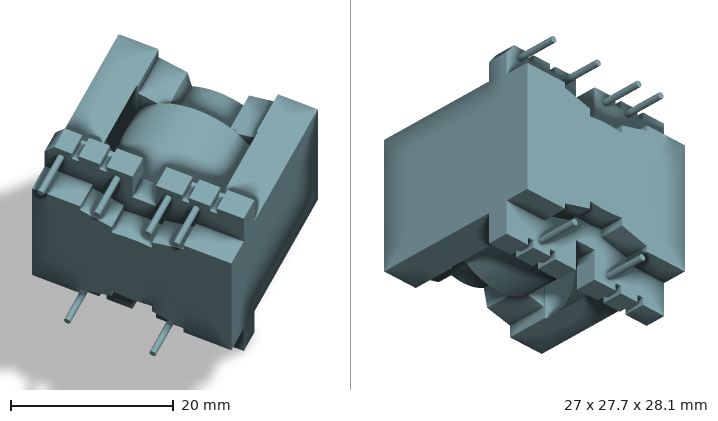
import cadquery as cq


core_width = 27.0
core_length = 25.3
back_half_height = 9.62
front_half_height = 9.22
end_thickness = 6.0
window_depth = 6.2
window_radius = 11.8
window_offset = 1.38

back_leg_x = 8.07
back_slope_top = 7.9
back_ridge_x = 4.15
back_slope_bottom = 7.03
back_dip_x = 3.57
back_dip_edge = 4.41
back_dip_middle = 5.25
front_leg_x = 7.0
front_slope_top = 8.45
front_ridge_x = 2.75
front_slope_bottom = 7.3
front_dip_edge = 6.2
front_dip_middle = 6.4

coil_radius = 9.08

plate_height = 28.12
plate_back = -5.9
plate_thickness = 3.1
corner_cut_x = 1.3
corner_cut_z = 1.63
centre_notch_width = 3.18
centre_notch_depth = 4.35
wire_slot_width = 0.93
wire_slot_depth = 1.07
wire_slot_xs = (-9.35, -5.6, 5.6, 9.35)

pin_diameter = 0.87
pin_length = 6.05
pin_z = 12.55
top_pin_xs = (-11.28, -3.65, 3.3, 7.1)
bottom_pin_xs = (-7.65, 3.95)

core_back = core_length / 2
core_front = -core_length / 2
end_inner = core_back - end_thickness
window_back = core_back - window_depth
plate_front = plate_back - plate_thickness


def box(width, y_start, y_end, height, x=0.0, z=0.0):
    """Box centred on (x, z) that runs from y_start to y_end."""
    return cq.Workplane("XY").box(width, y_end - y_start, height).translate((x, (y_start + y_end) / 2, z))


def rod(x, z, radius, y_start, y_end):
    """Cylinder along Y from y_start to y_end."""
    return cq.Workplane("XZ", origin=(x, y_start, z)).circle(radius).extrude(y_start - y_end)


def profiled_end(half_outline, dip_middle, half_height, y_start, y_end):
    """Core end with a stepped, sloping recess and an arched floor on its top and bottom."""
    half_width = core_width / 2
    dip_x, dip_edge = half_outline[-1]
    right = [(half_width, half_height)] + half_outline
    left = [(-x, z) for x, z in reversed(right)]
    upper_half = (
        cq.Workplane("XZ", origin=(0, y_start, 0))
        .moveTo(half_width, 0)
        .polyline(right, includeCurrent=True)
        .threePointArc((0, dip_middle), (-dip_x, dip_edge))
        .polyline(left[1:], includeCurrent=True)
        .lineTo(-half_width, 0)
        .close()
        .extrude(y_start - y_end)
    )
    return upper_half.union(upper_half.mirror("XY"))


def make_back_end():
    outline = [
        (back_leg_x, back_half_height),
        (back_leg_x, back_slope_top),
        (back_ridge_x, back_slope_bottom),
        (back_dip_x, back_dip_edge),
    ]
    return profiled_end(outline, back_dip_middle, back_half_height, end_inner, core_back)


def make_front_end():
    outline = [
        (front_leg_x, front_half_height),
        (front_leg_x, front_slope_top),
        (front_ridge_x, front_slope_bottom),
        (front_ridge_x, front_dip_edge),
    ]
    return profiled_end(outline, front_dip_middle, front_half_height, core_front, plate_front)


def make_legs():
    """Two outer legs whose inner faces are hollowed for the winding window."""
    leg_width = core_width / 2 - back_leg_x
    leg_x = core_width / 2 - leg_width / 2
    legs = cq.Workplane("XY")
    for side in (-1, 1):
        leg = box(leg_width, plate_back, core_back, 2 * back_half_height, x=side * leg_x)
        hollow = rod(side * window_offset, 0, window_radius, plate_back, window_back)
        legs = legs.union(leg.cut(hollow))
    return legs


def make_terminal_plate():
    top = plate_height / 2
    plate = box(core_width, plate_front, plate_back, plate_height)
    for side in (-1, 1):
        plate = plate.cut(
            box(centre_notch_width, plate_front, plate_back, 2 * centre_notch_depth, z=side * top)
        )
        for x in wire_slot_xs:
            plate = plate.cut(
                box(wire_slot_width, plate_front, plate_back, 2 * wire_slot_depth, x=x, z=side * top)
            )
    corner_x = -core_width / 2
    corner = (
        cq.Workplane("XZ", origin=(0, plate_back, 0))
        .polyline([(corner_x, top), (corner_x + corner_cut_x, top), (corner_x, top - corner_cut_z)])
        .close()
        .extrude(plate_thickness)
    )
    return plate.cut(corner)


def make_pins():
    pins = cq.Workplane("XY")
    for xs, z in ((top_pin_xs, pin_z), (bottom_pin_xs, -pin_z)):
        for x in xs:
            pins = pins.union(rod(x, z, pin_diameter / 2, plate_front - pin_length, plate_front))
    return pins


coil = rod(0, 0, coil_radius, plate_back, end_inner)

result = (
    make_terminal_plate()
    .union(make_front_end())
    .union(make_legs())
    .union(make_back_end())
    .union(coil)
    .union(make_pins())
)